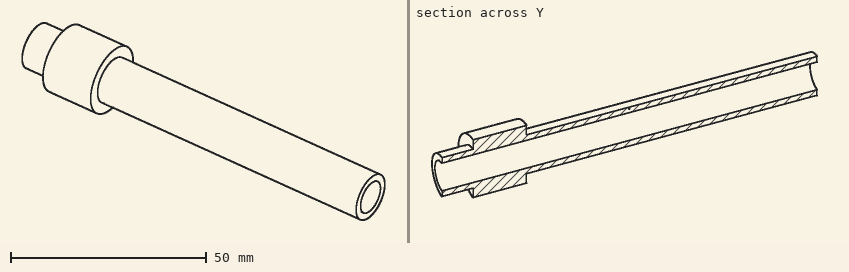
import cadquery as cq

tube_length = 104.8
tube_diameter = 12.7
bore_diameter = 8.8
collar_diameter = 18.8
collar_length = 15.0
collar_offset = 8.7

tube_start = -tube_length / 2


def cylinder_along_x(start, length, diameter):
    """Solid cylinder on the X axis, running toward +X from start."""
    return cq.Workplane("YZ", origin=(start, 0, 0)).circle(diameter / 2).extrude(length)


tube = cylinder_along_x(tube_start, tube_length, tube_diameter)
collar = cylinder_along_x(tube_start + collar_offset, collar_length, collar_diameter)
bore = cylinder_along_x(tube_start, tube_length, bore_diameter)

result = tube.union(collar).cut(bore)